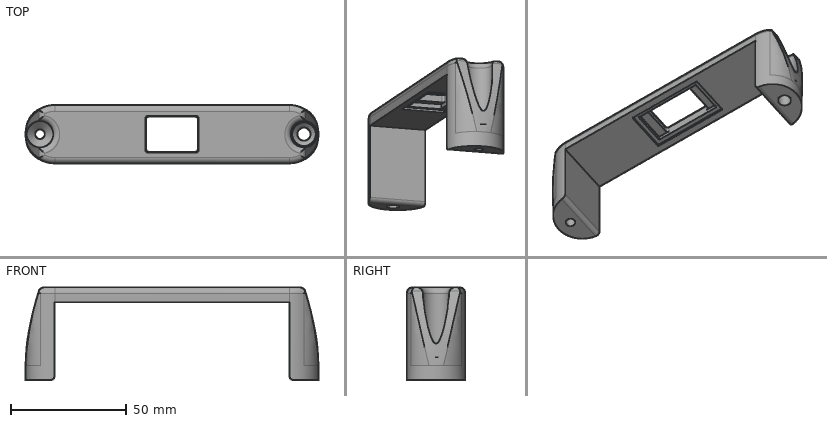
import cadquery as cq
import math

length = 127.0
width = 25.4
height = 40.3
end_radius = width / 2
beam_thickness = 6.6
leg_depth = end_radius
edge_radius = 2.7
foot_radius = 1.9

nose_base_z = 6.5
nose_depth = 6.4
nose_height = height - nose_base_z
nose_root_x = length / 2 - nose_depth
nose_half_width = math.sqrt(end_radius**2 - (end_radius - nose_depth) ** 2)
front_base_half_width = 3.2
flank_top_width = 0.1
section_count = 5
slope_start = 1.2
nose_overlap = 1.3
least_front_bow = 0.01
least_flank_bow = 0.001

screw_x = nose_root_x
bore_diameter = 11.4
seat_z = 9.9
left_hole_diameter = 4.1
right_hole_diameter = 5.6
left_cone_diameter = 11.4
right_cone_diameter = 10.2

window_length = 22.2
window_width = 15.1
window_corner_radius = 1.0
window_chamfer = 0.5
window_lip_depth = 3.5
recess_length = 30.5
cover_depth = 1.0
cover_length = 34.3
cover_width = 19.0

clearance = 1.3


def box_above(z, depth, size_x, size_y):
    """Box centred on the Z axis, rising from height z."""
    return (
        cq.Workplane("XY", origin=(0, 0, z))
        .box(size_x, size_y, depth, centered=(True, True, False))
    )


def handle_body():
    """Straight-sided handle with rounded inner foot edges."""
    inner_length = length - 2 * leg_depth
    body = cq.Workplane("XY").slot2D(length, width).extrude(height)
    body = body.cut(box_above(0, height - beam_thickness, inner_length, width))
    return body.faces("<Z").edges("|Y").fillet(foot_radius)


def bowed_midpoint(start, end, bow):
    """Point off the middle of a chord, on its right-hand side."""
    dx = end[0] - start[0]
    dy = end[1] - start[1]
    chord = math.hypot(dx, dy)
    return (
        (start[0] + end[0]) / 2 + bow * dy / chord,
        (start[1] + end[1]) / 2 - bow * dx / chord,
    )


def sagitta(start, end):
    """Height of an end-radius arc over a chord."""
    chord = math.dist(start, end)
    return end_radius - math.sqrt(end_radius**2 - chord**2 / 4)


def nose_corner(t):
    """Corner between front face and +Y flank at fraction t of the nose height."""
    base_x = length / 2 - end_radius + math.sqrt(end_radius**2 - front_base_half_width**2)
    setback = t**2 * (slope_start + (1 - slope_start) * t)
    x = base_x + (nose_root_x - base_x) * setback
    y = front_base_half_width + (nose_half_width - flank_top_width - front_base_half_width) * t
    return (x, y)


def nose():
    """Nose of the right leg: round at its base, flattening to a straight top edge."""
    root = (nose_root_x, nose_half_width)
    base_x, base_y = nose_corner(0)
    front_bow = sagitta((base_x, -base_y), (base_x, base_y))
    flank_bow = sagitta((base_x, base_y), root)
    inner_x = nose_root_x - nose_overlap
    sections = cq.Workplane("XY", origin=(0, 0, nose_base_z))
    for i in range(section_count):
        t = i / (section_count - 1)
        x, y = nose_corner(t)
        mid_x, mid_y = bowed_midpoint((x, y), root, max(flank_bow * (1 - t), least_flank_bow))
        front_x = x + max(front_bow * (1 - t), least_front_bow)
        sections = (
            sections
            .moveTo(inner_x, -nose_half_width)
            .lineTo(nose_root_x, -nose_half_width)
            .threePointArc((mid_x, -mid_y), (x, -y))
            .threePointArc((front_x, 0), (x, y))
            .threePointArc((mid_x, mid_y), root)
            .lineTo(inner_x, nose_half_width)
            .close()
        )
        if i < section_count - 1:
            sections = sections.workplane(offset=nose_height / (section_count - 1))
    return sections.loft()


def side_rounding():
    """Material removed to round the top edge along the outline."""
    slot = cq.Workplane("XY").slot2D(length, width).extrude(height)
    rounded = slot.faces(">Z").edges().fillet(edge_radius)
    rim = box_above(height - edge_radius, edge_radius, length + clearance, width + clearance)
    return rim.cut(rounded)


def nose_rounding():
    """Material removed to round the top edge of the right nose."""
    slope = (3 - slope_start) * nose_depth / nose_height
    lean = math.atan(slope)
    tangent = edge_radius * math.tan((math.pi / 2 - lean) / 2)
    low_x = nose_root_x + tangent * math.sin(lean)
    low_z = height - tangent * math.cos(lean)
    return (
        cq.Workplane("XZ")
        .moveTo(nose_root_x - tangent, height)
        .radiusArc((low_x, low_z), edge_radius)
        .lineTo(low_x + clearance, low_z)
        .lineTo(low_x + clearance, height + clearance)
        .lineTo(nose_root_x - tangent, height + clearance)
        .close()
        .extrude(width / 2, both=True)
    )


def screw_hole(x, hole_diameter, cone_diameter):
    """Flared bore with a countersunk through hole at its floor."""
    hole_radius = hole_diameter / 2
    cone_radius = cone_diameter / 2
    bore_radius = bore_diameter / 2
    cone_z = seat_z - (cone_radius - hole_radius)
    profile = (
        cq.Workplane("XZ")
        .lineTo(hole_radius, 0)
        .lineTo(hole_radius, cone_z)
        .lineTo(cone_radius, seat_z)
    )
    if cone_radius < bore_radius:
        profile = profile.lineTo(bore_radius, seat_z)
    return (
        profile
        .lineTo(bore_radius, height - edge_radius)
        .radiusArc((bore_radius + edge_radius, height), edge_radius)
        .lineTo(0, height)
        .close()
        .revolve(360, (0, 0, 0), (0, 1, 0))
        .translate((x, 0, 0))
    )


def window():
    """Chamfered window, a longer recess under its lip and a wider cover seat."""
    underside_z = height - beam_thickness
    outline = (
        cq.Sketch()
        .rect(window_length, window_width)
        .vertices()
        .fillet(window_corner_radius)
    )
    opening = cq.Workplane("XY", origin=(0, 0, underside_z)).placeSketch(outline).extrude(beam_thickness)
    flare = (
        cq.Workplane("XY", origin=(0, 0, height - window_chamfer))
        .placeSketch(outline)
        .extrude(window_chamfer, taper=-45)
    )
    recess = box_above(underside_z, beam_thickness - window_lip_depth, recess_length, window_width)
    cover = box_above(underside_z, cover_depth, cover_length, cover_width)
    return opening.union(flare).union(recess).union(cover)


right_nose = nose()
nose_zone = (
    cq.Workplane("XY", origin=(nose_root_x, 0, nose_base_z))
    .box(nose_depth, width, nose_height, centered=(False, True, False))
)
right_nose_rounding = nose_rounding()

result = handle_body()
result = result.cut(nose_zone).cut(nose_zone.mirror("YZ"))
result = result.union(right_nose).union(right_nose.mirror("YZ"))
result = result.cut(side_rounding())
result = result.cut(right_nose_rounding).cut(right_nose_rounding.mirror("YZ"))
result = result.cut(screw_hole(-screw_x, left_hole_diameter, left_cone_diameter))
result = result.cut(screw_hole(screw_x, right_hole_diameter, right_cone_diameter))
result = result.cut(window())